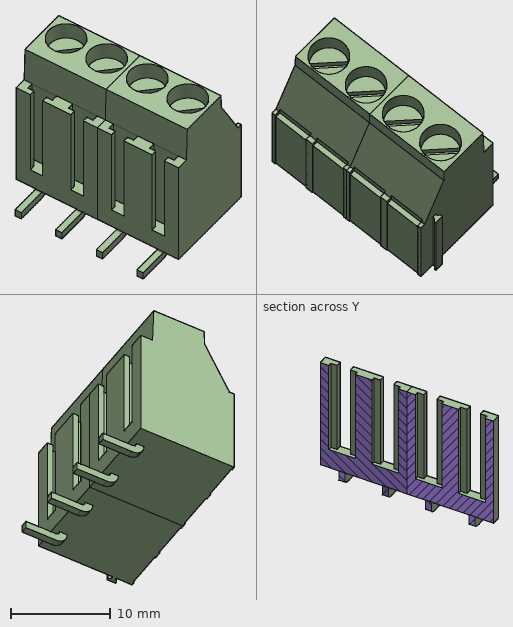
import cadquery as cq
import math


overall_length = 20.65
overall_depth = 14.2
pole_pitch = 5.0
poles_per_housing = 2
housing_count = 2
housing_length = poles_per_housing * pole_pitch
rail_depth = overall_length - housing_count * housing_length
pole_count = housing_count * poles_per_housing
pole_positions = [(i + 0.5) * pole_pitch for i in range(pole_count)]

housing_depth = 11.0
housing_height = 17.18
front_shelf_depth = 1.38
front_shelf_height = 12.97
front_draft = 0.15
back_shelf_depth = 0.58
back_shelf_height = 10.22
back_wall_inset = 3.55
back_wall_height = 1.71
back_draft = 0.06

slot_floor_height = 2.33
slot_mouth_width = 1.53
slot_inner_width = 3.01
slot_lip_depth = 0.65

back_recess_width = 4.15
back_recess_depth = 0.1
back_notch_depth = 0.72
back_notch_drop = 0.5

rail_height = 10.04
rail_head_width = 1.0
rail_neck_width = 0.45
rail_head_flat = 0.19
rail_taper_length = (rail_head_width - rail_neck_width) / 2
rail_inset = 2.05

screw_hole_diameter = 4.2
screw_inset = 5.82
screw_diameter = 4.0
screw_recess = 1.92
screw_thickness = 1.4
screw_slot_width = 0.58
screw_slot_depth = 0.7
screw_slot_angle = 45

pin_width = 0.76
pin_thickness = 0.89
pin_drop = 1.38
pin_reach = overall_depth - housing_depth
pin_inset = 1.65
pin_inner_radius = pin_drop - pin_thickness

screw_y = housing_depth - screw_inset


def box(center_x, width, y_start, y_end, z_start, z_end):
    """Box centred on center_x, spanning the given Y and Z ranges."""
    block = cq.Workplane("XY").box(width, y_end - y_start, z_end - z_start, centered=(True, False, False))
    return block.translate((center_x, y_start, z_start))


def housing_blank(left_x):
    """Solid housing profile extruded along X."""
    back_wall_y = housing_depth - back_wall_inset
    profile = [
        (0, 0),
        (housing_depth, 0),
        (housing_depth, back_shelf_height),
        (housing_depth - back_shelf_depth, back_shelf_height),
        (back_wall_y + back_draft, housing_height - back_wall_height),
        (back_wall_y, housing_height),
        (front_shelf_depth + front_draft, housing_height),
        (front_shelf_depth, front_shelf_height),
        (0, front_shelf_height),
    ]
    return cq.Workplane("YZ").polyline(profile).close().extrude(housing_length).translate((left_x, 0, 0))


def front_slot(pole_x):
    """T-shaped slot, open at the front and at the shelf."""
    mouth = box(pole_x, slot_mouth_width, 0, slot_lip_depth, slot_floor_height, front_shelf_height)
    inner = box(
        pole_x, slot_inner_width, slot_lip_depth, front_shelf_depth, slot_floor_height, front_shelf_height
    )
    return mouth.union(inner)


def back_recess(pole_x):
    """Shallow full-height recess in the back face, with a deeper notch through the back shelf."""
    shallow = box(
        pole_x, back_recess_width, housing_depth - back_recess_depth, housing_depth, 0, back_shelf_height
    )
    notch_floor = back_shelf_height - back_notch_drop
    notch_y = housing_depth - back_notch_depth
    notch = box(pole_x, back_recess_width, notch_y, housing_depth, notch_floor, housing_height)
    return shallow.union(notch)


def screw_hole(pole_x):
    """Blind hole from the top face, with the screw resting on its floor."""
    depth = screw_recess + screw_thickness
    return (
        cq.Workplane("XY", origin=(pole_x, screw_y, housing_height))
        .circle(screw_hole_diameter / 2)
        .extrude(-depth)
    )


def dovetail_rail():
    """Upright rail on the end face at X = 0, widening outwards to its head."""
    half_head = rail_head_width / 2
    half_neck = rail_neck_width / 2
    head_x = -rail_depth + rail_head_flat
    neck_x = head_x + rail_taper_length
    profile = [
        (0, -half_neck),
        (neck_x, -half_neck),
        (head_x, -half_head),
        (-rail_depth, -half_head),
        (-rail_depth, half_head),
        (head_x, half_head),
        (neck_x, half_neck),
        (0, half_neck),
    ]
    base = cq.Workplane("XY", origin=(0, housing_depth - rail_inset, 0))
    return base.polyline(profile).close().extrude(rail_height)


def make_housing(index):
    """One two-pole housing; the first in the row carries the dovetail rail."""
    first_pole = index * poles_per_housing
    housing = housing_blank(index * housing_length)
    for pole_x in pole_positions[first_pole:first_pole + poles_per_housing]:
        housing = housing.cut(front_slot(pole_x))
        housing = housing.cut(back_recess(pole_x))
        housing = housing.cut(screw_hole(pole_x))
    if index == 0:
        housing = housing.union(dovetail_rail())
    return housing


def make_screw(pole_x):
    """Slotted screw head, sunk below the top face."""
    head = cq.Workplane("XY").circle(screw_diameter / 2).extrude(-screw_thickness)
    slot = (
        cq.Workplane("XY")
        .rect(screw_diameter + screw_slot_width, screw_slot_width)
        .extrude(-screw_slot_depth)
        .rotate((0, 0, 0), (0, 0, 1), screw_slot_angle)
    )
    return head.cut(slot).translate((pole_x, screw_y, housing_height - screw_recess))


def make_pin(pole_x):
    """Bent pin that leaves the underside of the housing and runs forward."""
    bend_y = pin_inset - pin_drop
    outer_mid = pin_drop * math.sqrt(0.5)
    inner_mid = pin_inner_radius * math.sqrt(0.5)
    profile = (
        cq.Workplane("YZ")
        .moveTo(pin_inset, 0)
        .threePointArc((bend_y + outer_mid, -outer_mid), (bend_y, -pin_drop))
        .lineTo(-pin_reach, -pin_drop)
        .lineTo(-pin_reach, -pin_inner_radius)
        .lineTo(bend_y, -pin_inner_radius)
        .threePointArc((bend_y + inner_mid, -inner_mid), (bend_y + pin_inner_radius, 0))
        .close()
    )
    return profile.extrude(pin_width).translate((pole_x - pin_width / 2, 0, 0))


housings = [make_housing(index) for index in range(housing_count)]
screws = [make_screw(pole_x) for pole_x in pole_positions]
pins = [make_pin(pole_x) for pole_x in pole_positions]

result = cq.Compound.makeCompound([body.val() for body in housings + screws + pins])